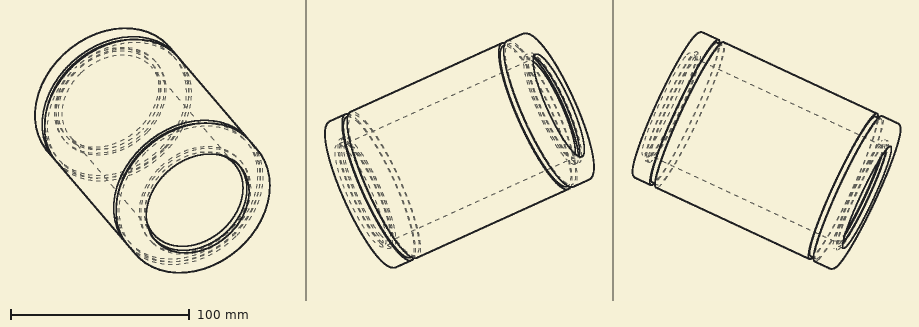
import cadquery as cq

length = 125.0
outer_diameter = 90.0
bore_diameter = 60.0
edge_radius = 2.0

groove_span = 101.8
groove_width = 3.1
groove_diameter = 86.5

mouth_diameter = 63.0
lip_length = 3.0
undercut_diameter = 67.5
undercut_width = 2.0


def cylinder_along_x(diameter, start, size):
    """Solid cylinder on the X axis, from start to start + size."""
    return cq.Workplane("YZ", origin=(start, 0, 0)).circle(diameter / 2).extrude(size)


def ring_groove(start):
    """Ring of material to remove for one retaining ring groove."""
    outside = cylinder_along_x(outer_diameter, start, groove_width)
    return outside.cut(cylinder_along_x(groove_diameter, start, groove_width))


def end_recess():
    """Material to remove at the -X end of the bore: the mouth and its undercut."""
    mouth = cylinder_along_x(mouth_diameter, -length / 2, lip_length)
    undercut = cylinder_along_x(undercut_diameter, -length / 2 + lip_length, undercut_width)
    return mouth.union(undercut)


sleeve = cylinder_along_x(outer_diameter, -length / 2, length)
sleeve = sleeve.faces("<X or >X").edges().fillet(edge_radius)

sleeve = sleeve.cut(cylinder_along_x(bore_diameter, -length / 2, length))

recess = end_recess()
sleeve = sleeve.cut(recess).cut(recess.mirror("YZ"))

for start in (-groove_span / 2, groove_span / 2 - groove_width):
    sleeve = sleeve.cut(ring_groove(start))

result = sleeve